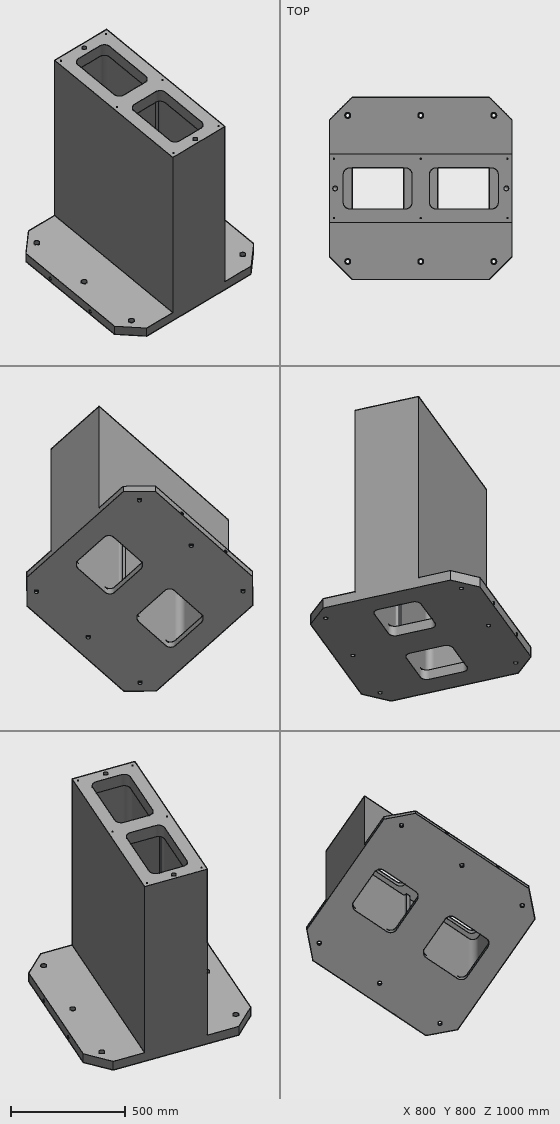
import cadquery as cq
import math

base_side = 800.0
base_height = 50.0
base_corner_cut = 100.0
column_depth = 300.0
total_height = 1000.0

wall = 40.0
lid_thickness = 65.0
corner_radius = 30.0

lid_opening_gap = 75.0
lid_opening_outer_x = 340.0
lid_opening_depth = 180.0

rib_thickness = 20.0
rib_projection = 12.0
rib_root_radius = 10.0

base_opening_gap = 150.0
base_opening_outer_x = 300.0

bolt_spacing = 320.0
bolt_diameter = 18.0
bolt_counterbore_diameter = 26.0
bolt_counterbore_depth = base_height / 2

lid_hole_x = 375.0
lid_hole_diameter = 21.0
lid_hole_depth = 50.0
cover_screw_x = 380.0
cover_screw_y = 130.0
cover_screw_diameter = 5.0
cover_screw_depth = 15.0
edge_hole_x = 135.0
edge_hole_z = 18.0
edge_hole_diameter = 14.0
edge_hole_depth = 40.0
drill_point_angle = 118.0

edge_tolerance = 1.0

cavity_width = base_side - 2 * wall
cavity_depth = column_depth - 2 * wall
cavity_height = total_height - lid_thickness - base_height


def block(width, depth, bottom, height, x_center=0.0):
    """Box centred on Y = 0 with its lower face at Z = bottom."""
    return cq.Workplane("XY", origin=(x_center, 0, bottom)).rect(width, depth).extrude(height)


def mirrored_pair(inner_x, outer_x, depth, bottom, height):
    """Rounded rectangular prism and its mirror image about X = 0."""
    center_x = (inner_x + outer_x) / 2
    right = block(outer_x - inner_x, depth, bottom, height, center_x)
    right = right.edges("|Z").fillet(corner_radius)
    return right.union(right.mirror("YZ"))


def drilled_hole(point, direction, diameter, depth):
    """Cutting tool for a blind hole with a conical end, drilled along the given direction."""
    radius = diameter / 2
    tip_length = radius / math.tan(math.radians(drill_point_angle / 2))
    profile = [(0, 0), (radius, 0), (radius, depth), (0, depth + tip_length)]
    plane = cq.Plane(origin=point, normal=direction)
    tool = cq.Workplane("XY").polyline(profile).close().revolve(360, (0, 0), (0, 1))
    upright = tool.val().rotate(cq.Vector(0, 0, 0), cq.Vector(1, 0, 0), 90)
    return upright.moved(cq.Location(plane))


def make_cavity():
    """Inner space of the column, notched by one rib on each long wall."""
    cavity = block(cavity_width, cavity_depth, base_height, cavity_height)
    cavity = cavity.edges("|Z").fillet(corner_radius)
    rib_center_y = (cavity_depth - rib_projection) / 2
    ribs = (
        cq.Workplane("XY", origin=(0, 0, base_height))
        .pushPoints([(0, -rib_center_y), (0, rib_center_y)])
        .rect(rib_thickness, rib_projection)
        .extrude(cavity_height)
    )
    cavity = cavity.cut(ribs)
    for wall_side in (-1, 1):
        root_edges = cq.selectors.BoxSelector(
            (-rib_thickness, wall_side * (cavity_depth / 2 - edge_tolerance), 0),
            (rib_thickness, wall_side * (cavity_depth / 2 + edge_tolerance), total_height),
        )
        cavity = cavity.edges("|Z").edges(root_edges).fillet(rib_root_radius)
    return cavity


base = block(base_side, base_side, 0, base_height).edges("|Z").chamfer(base_corner_cut)
column = block(base_side, column_depth, base_height, total_height - base_height)
body = base.union(column)

body = body.cut(make_cavity())
body = body.cut(
    mirrored_pair(
        lid_opening_gap / 2, lid_opening_outer_x, lid_opening_depth,
        total_height - lid_thickness, lid_thickness,
    )
)
body = body.cut(
    mirrored_pair(
        base_opening_gap / 2, base_opening_outer_x, cavity_depth,
        0, base_height,
    )
)

bolt_points = [(x, y) for x in (-bolt_spacing, 0, bolt_spacing) for y in (-bolt_spacing, bolt_spacing)]
bolt_centers = cq.Workplane("XY").pushPoints(bolt_points)
body = body.cut(bolt_centers.circle(bolt_diameter / 2).extrude(base_height))
counterbore_centers = cq.Workplane("XY", origin=(0, 0, base_height)).pushPoints(bolt_points)
body = body.cut(counterbore_centers.circle(bolt_counterbore_diameter / 2).extrude(-bolt_counterbore_depth))

for x in (-lid_hole_x, lid_hole_x):
    body = body.cut(drilled_hole((x, 0, total_height), (0, 0, -1), lid_hole_diameter, lid_hole_depth))
for x in (-cover_screw_x, 0, cover_screw_x):
    for y in (-cover_screw_y, cover_screw_y):
        point = (x, y, total_height)
        body = body.cut(drilled_hole(point, (0, 0, -1), cover_screw_diameter, cover_screw_depth))

for x in (-edge_hole_x, edge_hole_x):
    front_point = (x, -base_side / 2, edge_hole_z)
    back_point = (x, base_side / 2, edge_hole_z)
    body = body.cut(drilled_hole(front_point, (0, 1, 0), edge_hole_diameter, edge_hole_depth))
    body = body.cut(drilled_hole(back_point, (0, -1, 0), edge_hole_diameter, edge_hole_depth))

result = cq.Workplane(body.solids().val())